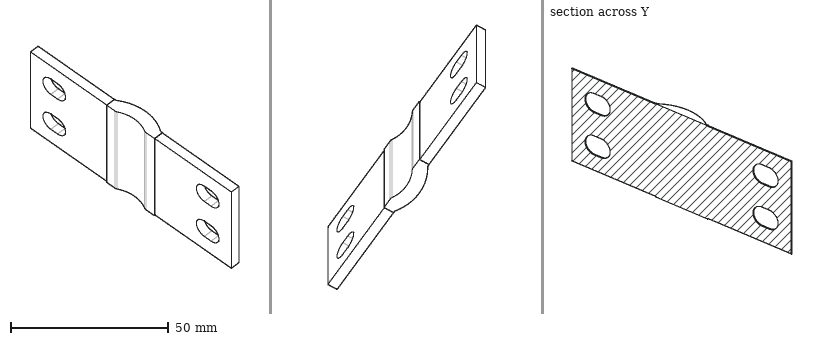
import cadquery as cq
import math

plate_length = 89.0
plate_thickness = 3.5
plate_height = 35.0

slot_length = 10.0
slot_width = 7.0
slot_spacing_x = 68.0
slot_spacing_z = 16.0

band_width = 21.2
band_overhang = 0.2
band_height = plate_height + 2 * band_overhang
arch_rise = 3.0
arch_inner_radius = 12.7
arch_thickness = 4.95
groove_edge_radius = 1.5

band_front_y = -band_overhang
arch_top_y = plate_thickness + arch_rise

arch_outer_radius = arch_inner_radius + arch_thickness
arch_center_y = arch_top_y - arch_outer_radius


def make_plate_block(length):
    return cq.Workplane("XY").box(
        length, plate_thickness, plate_height, centered=(True, False, True)
    )


def make_slots():
    return (
        cq.Workplane("XZ")
        .rarray(slot_spacing_x, slot_spacing_z, 2, 2)
        .slot2D(slot_length, slot_width)
        .extrude(-plate_thickness)
    )


def make_arch_cylinder(radius):
    return (
        cq.Workplane("XY")
        .center(0, arch_center_y)
        .circle(radius)
        .extrude(band_height / 2, both=True)
    )


def make_band_block(depth):
    """Block as wide and high as the band, reaching back from its front face."""
    return (
        cq.Workplane("XY")
        .box(band_width, depth, band_height, centered=(True, False, True))
        .translate((0, band_front_y, 0))
    )


def make_band():
    arch = make_band_block(arch_top_y - band_front_y).intersect(make_arch_cylinder(arch_outer_radius))
    base = make_band_block(plate_thickness - band_front_y)
    band = base.union(arch).cut(make_arch_cylinder(arch_inner_radius))
    groove_half_width = math.sqrt(arch_inner_radius**2 - (band_front_y - arch_center_y) ** 2)
    for side in (-1, 1):
        groove_edge = cq.selectors.NearestToPointSelector((side * groove_half_width, band_front_y, 0))
        band = band.edges("|Z").edges(groove_edge).fillet(groove_edge_radius)
    return band


flat_ends = make_plate_block(plate_length).cut(make_plate_block(band_width)).cut(make_slots())
result = flat_ends.union(make_band())